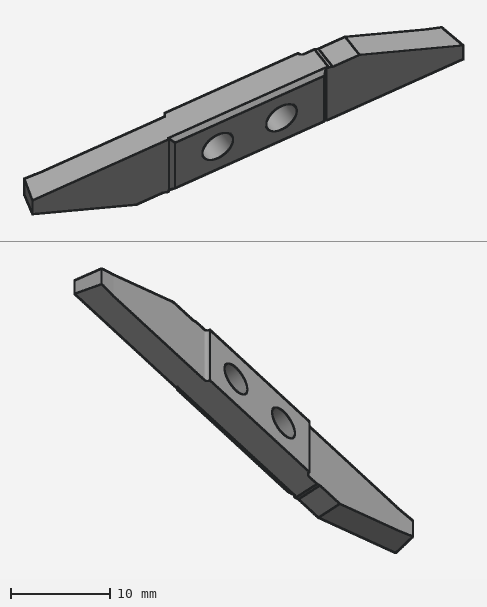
import cadquery as cq
import math

length = 50.5
height = 8.0
thickness = 3.6

front_pad_depth = 0.4
rear_pad_depth = 0.35
blade_front = -thickness / 2 + front_pad_depth
blade_back = thickness / 2 - rear_pad_depth

tip_height = 2.1
taper_start = 13.1
step_start = 9.5
step_end = 9.95
taper_angle = 25.0
end_bevel_angle = 15.0

lip_start = 22.45
lip_rise = 0.1

front_pad_length = 15.65
step_fillet = front_pad_depth
rear_pad_length = 18.5
rear_pad_chamfer = 0.5
hole_diameter = 3.6
hole_spacing = 7.45


def make_blade():
    """Z-shaped profile, unchanged by a half turn about X, with bevelled ends."""
    taper_rise = (length / 2 - taper_start) * math.tan(math.radians(taper_angle))
    shoulder_z = -height / 2 + tip_height + taper_rise
    half_outline = [
        (-length / 2, height / 2),
        (step_start, height / 2),
        (step_end, shoulder_z),
        (taper_start, shoulder_z),
        (length / 2, -height / 2 + tip_height),
    ]
    outline = half_outline + [(-y, -z) for y, z in half_outline]
    blade = cq.Workplane("YZ").polyline(outline).close().extrude(thickness, both=True)

    lip_front = blade_front - lip_rise
    bevel = (blade_back - lip_front) * math.tan(math.radians(end_bevel_angle))
    half_plan = [
        (blade_front, lip_start),
        (lip_front, length / 2 - bevel),
        (blade_back, length / 2),
    ]
    plan = half_plan + [(x, -y) for x, y in reversed(half_plan)]
    plan_prism = cq.Workplane("XY").polyline(plan).close().extrude(height / 2, both=True)
    return blade.intersect(plan_prism)


def make_front_pad():
    """Raised front pad whose two ends blend into the blade with concave arcs."""
    front = -thickness / 2
    pad_end = front_pad_length / 2
    blend_end = pad_end + step_fillet
    arc_offset = step_fillet * (1 - math.sqrt(0.5))
    return (
        cq.Workplane("XY")
        .moveTo(blade_back, -blend_end)
        .lineTo(blade_front, -blend_end)
        .threePointArc((blade_front - arc_offset, -pad_end - arc_offset), (front, -pad_end))
        .lineTo(front, pad_end)
        .threePointArc((blade_front - arc_offset, pad_end + arc_offset), (blade_front, blend_end))
        .lineTo(blade_back, blend_end)
        .close()
        .extrude(height / 2, both=True)
    )


def make_rear_pad():
    """Rear pad with chamfers all round that start inside the blade thickness."""
    pad_thickness = thickness / 2 - blade_front
    return (
        cq.Workplane("YZ", origin=(blade_front, 0, 0))
        .rect(rear_pad_length, height)
        .extrude(pad_thickness)
        .faces(">X")
        .chamfer(rear_pad_chamfer)
    )


def make_rear_pocket():
    """Shallow relief in the blade's back face, as deep as the foot of the rear pad's chamfers."""
    pocket_floor = thickness / 2 - rear_pad_chamfer
    return (
        cq.Workplane("YZ", origin=(pocket_floor, 0, 0))
        .rect(rear_pad_length, height)
        .extrude(rear_pad_chamfer)
    )


def make_holes():
    """Two through holes along X, centred on the part."""
    return (
        cq.Workplane("YZ")
        .pushPoints([(-hole_spacing / 2, 0), (hole_spacing / 2, 0)])
        .circle(hole_diameter / 2)
        .extrude(thickness, both=True)
    )


body = make_blade().union(make_front_pad()).cut(make_rear_pocket())
result = body.union(make_rear_pad()).cut(make_holes())